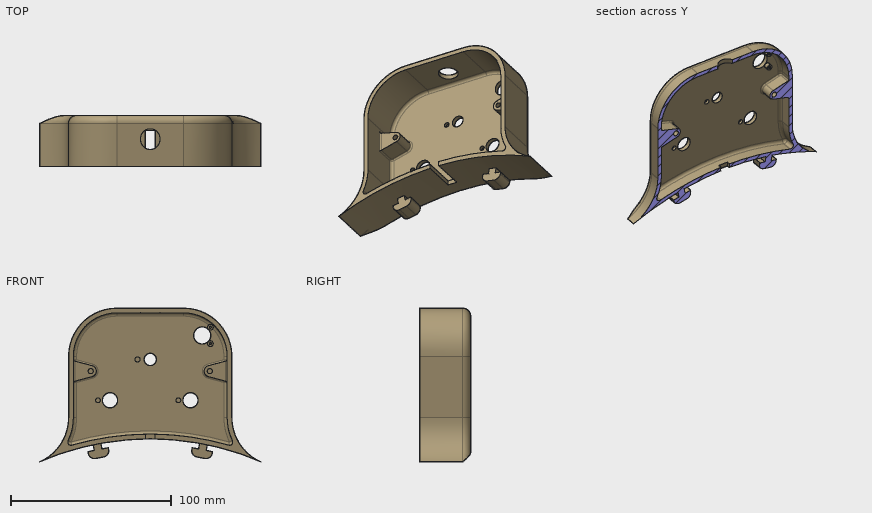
import cadquery as cq
import math

depth = 31.75
height = 95.58
half_width = 50.8
tip_half_width = 68.83
corner_radius = 30.0
flare_radius = 30.0
crown_rise = 14.25
wall = 3.0
back_rounding = 5.0
cavity_fillet = 2.0

plate_face = depth - wall
flare_center_x = half_width + flare_radius
flare_center_z = math.sqrt(flare_radius**2 - (flare_center_x - tip_half_width) ** 2)
flare_angle = math.asin(flare_center_z / flare_radius)
bell_skirt = 10.0
saddle_radius = (tip_half_width**2 + crown_rise**2) / (2 * crown_rise)
saddle_center_z = crown_rise - saddle_radius

roof_opening_width = 12.0
roof_opening_length = 12.8
roof_opening_y = depth - 14.7
floor_slot_width = 6.2
floor_slot_end = depth - 9.5

upper_hole_z = height - 31.9
lower_hole_z = height - 57.3
lower_hole_x = 25.0
upper_hole_diameter = 7.5
lower_hole_diameter = 9.3
upper_pin_offset = 7.9
lower_pin_offset = 7.5
upper_pin_diameter = 3.2
lower_pin_diameter = 3.0
pin_hole_depth = 2.0

connector_x = 32.3
connector_z = height - 17.0
connector_diameter = 10.5
post_offset = 5.08
post_diameter = 3.56
post_bore = 1.27
post_height = 3.0

lug_x = 37.0
lug_z = height - 39.2
lug_front = 15.2
lug_nose_radius = 3.5
lug_side_angle = math.radians(15)
lug_fillet = 1.0
lug_bore = 3.2
lug_bore_depth = 10.0

hook_angle = 11.0
hook_front = lug_front
hook_back = depth - back_rounding
hook_neck_width = 5.0
hook_neck_length = 3.5
hook_head_width = 13.0
hook_head_height = 5.2
hook_corner_radius = 4.0
hook_root = 1.0


def front_plane(y):
    """Sketch plane facing the front at depth y; local x, y are X, Z and it extrudes to -Y."""
    return cq.Workplane("XZ", origin=(0, y, 0))


def disc(x, z, diameter, y_start, y_end):
    """Cylinder along Y between two depths."""
    return front_plane(y_end).center(x, z).circle(diameter / 2).extrude(y_end - y_start)


def bell(inset, y_end):
    """Solid with rounded shoulders and flaring sides, inset from the outer outline."""
    side = half_width - inset
    top = height - inset
    shoulder = corner_radius - inset
    shoulder_x = half_width - corner_radius
    shoulder_z = height - corner_radius
    shoulder_mid = shoulder * math.sqrt(0.5)
    flare = flare_radius + inset
    flare_mid_x = flare_center_x - flare * math.cos(flare_angle / 2)
    flare_mid_z = flare_center_z - flare * math.sin(flare_angle / 2)
    flare_end_x = flare_center_x - flare * math.cos(flare_angle)
    flare_end_z = flare_center_z - flare * math.sin(flare_angle)
    return (
        front_plane(y_end)
        .moveTo(-shoulder_x, top)
        .lineTo(shoulder_x, top)
        .threePointArc((shoulder_x + shoulder_mid, shoulder_z + shoulder_mid), (side, shoulder_z))
        .lineTo(side, flare_center_z)
        .threePointArc((flare_mid_x, flare_mid_z), (flare_end_x, flare_end_z))
        .lineTo(flare_end_x, -bell_skirt)
        .lineTo(-flare_end_x, -bell_skirt)
        .lineTo(-flare_end_x, flare_end_z)
        .threePointArc((-flare_mid_x, flare_mid_z), (-side, flare_center_z))
        .lineTo(-side, shoulder_z)
        .threePointArc((-shoulder_x - shoulder_mid, shoulder_z + shoulder_mid), (-shoulder_x, top))
        .close()
        .extrude(y_end)
    )


def saddle(radius):
    """Cylinder along Y whose crown arches the underside of the shell."""
    return disc(0, saddle_center_z, 2 * radius, 0, depth)


def make_outer_body():
    body = bell(0, depth)
    above_skirt = cq.selectors.BoxSelector((-tip_half_width, 0, 0), (tip_half_width, 2 * depth, 2 * height))
    body = body.faces(">Y").edges(above_skirt).fillet(back_rounding)
    return body.cut(saddle(saddle_radius))


def make_cavity():
    cavity = bell(wall, plate_face).cut(saddle(saddle_radius + wall))
    back_edges = cavity.faces(">Y").edges()
    bottom_corners = cavity.edges("|Y and <Z")
    return back_edges.add(bottom_corners).fillet(cavity_fillet)


def make_lug():
    """Right-hand lug: a round nose with tangent sides widening into the wall."""
    sine = math.sin(lug_side_angle)
    cosine = math.cos(lug_side_angle)
    root_x = half_width - wall / 2
    root_half = lug_nose_radius / cosine + (root_x - lug_x) * math.tan(lug_side_angle)
    tangent_x = lug_x - lug_nose_radius * sine
    tangent_rise = lug_nose_radius * cosine
    return (
        front_plane(depth - wall / 2)
        .moveTo(root_x, lug_z + root_half)
        .lineTo(tangent_x, lug_z + tangent_rise)
        .threePointArc((lug_x - lug_nose_radius, lug_z), (tangent_x, lug_z - tangent_rise))
        .lineTo(root_x, lug_z - root_half)
        .close()
        .extrude(depth - wall / 2 - lug_front)
    )


def blend_lug_root(shell):
    """Fillet the seams of the right-hand lug with the side wall and the back plate."""
    inner_wall = half_width - wall
    plate_fillet_start = inner_wall - cavity_fillet
    z_low = lug_z - 2 * lug_nose_radius
    z_high = lug_z + 2 * lug_nose_radius
    margin = 0.1
    wall_seams = cq.selectors.BoxSelector(
        (plate_fillet_start, lug_front - margin, z_low),
        (inner_wall + margin, plate_face - margin, z_high),
    )
    plate_seams = cq.selectors.BoxSelector(
        (lug_x - lug_nose_radius, plate_face - margin, z_low),
        (plate_fillet_start - margin, plate_face + margin, z_high),
    )
    return shell.edges(cq.selectors.SumSelector(wall_seams, plate_seams)).fillet(lug_fillet)


def add_lugs(shell):
    lug = make_lug()
    for _ in range(2):
        shell = blend_lug_root(shell.union(lug)).mirror("YZ")
    for x in (-lug_x, lug_x):
        shell = shell.cut(disc(x, lug_z, lug_bore, lug_front, lug_front + lug_bore_depth))
    return shell


def make_hook():
    """T-shaped hook on the saddle crown, before it is swung round the saddle axis."""
    neck_bottom = crown_rise - hook_neck_length
    neck = (
        front_plane(hook_back)
        .center(0, (crown_rise + hook_root + neck_bottom) / 2)
        .rect(hook_neck_width, hook_neck_length + hook_root)
        .extrude(hook_back - hook_front)
    )
    head = (
        front_plane(hook_back)
        .center(0, neck_bottom - hook_head_height / 2)
        .rect(hook_head_width, hook_head_height)
        .extrude(hook_back - hook_front)
        .edges("|Y and <Z")
        .fillet(hook_corner_radius)
    )
    return neck.union(head)


def add_hooks(shell):
    axis_start = (0, 0, saddle_center_z)
    axis_end = (0, 1, saddle_center_z)
    for angle in (-hook_angle, hook_angle):
        shell = shell.union(make_hook().rotate(axis_start, axis_end, angle))
    return shell


def cut_roof_opening(shell):
    cutter_height = 2 * wall
    cutter = (
        cq.Workplane("XY", origin=(0, roof_opening_y, height - cutter_height))
        .slot2D(roof_opening_length, roof_opening_width, 90)
        .extrude(cutter_height)
    )
    return shell.cut(cutter)


def cut_floor_slot(shell):
    cutter = cq.Workplane("XY").box(
        floor_slot_width, floor_slot_end, 4 * wall, centered=(True, False, True)
    )
    return shell.cut(cutter.translate((0, 0, crown_rise)))


def cut_plate_holes(shell):
    through_holes = [
        (0, upper_hole_z, upper_hole_diameter),
        (-lower_hole_x, lower_hole_z, lower_hole_diameter),
        (lower_hole_x, lower_hole_z, lower_hole_diameter),
        (connector_x, connector_z, connector_diameter),
    ]
    pin_holes = [
        (-upper_pin_offset, upper_hole_z, upper_pin_diameter),
        (-lower_hole_x - lower_pin_offset, lower_hole_z, lower_pin_diameter),
        (lower_hole_x - lower_pin_offset, lower_hole_z, lower_pin_diameter),
    ]
    for x, z, diameter in through_holes:
        shell = shell.cut(disc(x, z, diameter, plate_face, depth))
    for x, z, diameter in pin_holes:
        shell = shell.cut(disc(x, z, diameter, plate_face, plate_face + pin_hole_depth))
    return shell


def add_connector_posts(shell):
    x = connector_x + post_offset
    post_front = plate_face - post_height
    for z in (connector_z - post_offset, connector_z + post_offset):
        shell = shell.union(disc(x, z, post_diameter, post_front, plate_face + wall / 2))
        shell = shell.cut(disc(x, z, post_bore, post_front, plate_face))
    return shell


shell = make_outer_body().cut(make_cavity())
shell = add_lugs(shell)
shell = add_hooks(shell)
shell = cut_roof_opening(shell)
shell = cut_floor_slot(shell)
shell = cut_plate_holes(shell)
result = add_connector_posts(shell)